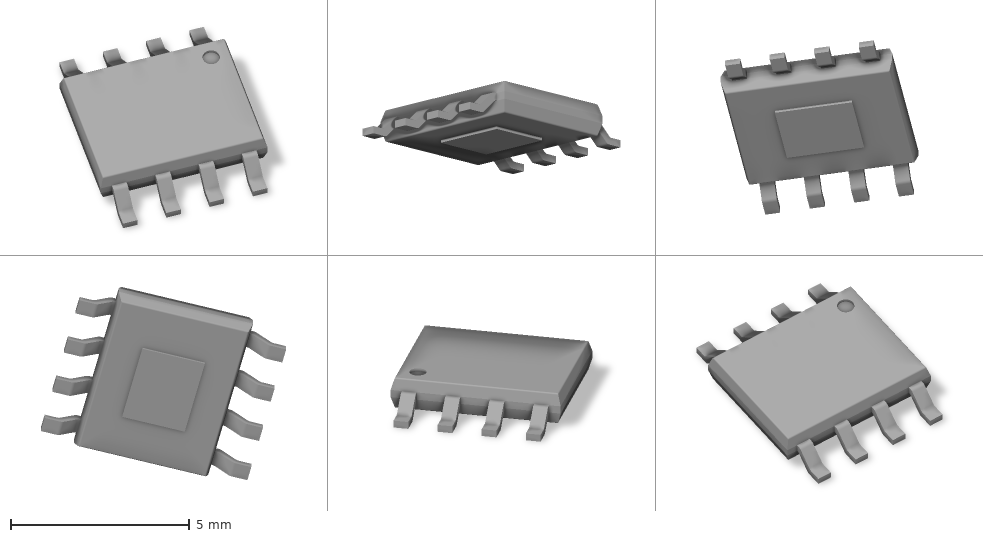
import cadquery as cq

SPAN = 6.0
BODY_WIDTH = 3.9
BODY_LENGTH = 4.9
TOP_Z = 1.0
BODY_BOTTOM_Z = 0.08

BELT_BOTTOM_Z = 0.44
BELT_TOP_Z = 0.66
DRAFT_ANGLE = 16.0
RIM_RADIUS = 0.05

MARK_DIAMETER = 0.485
MARK_DEPTH = 0.095
MARK_X = -1.32
MARK_Y = 1.81

PAD_WIDTH = 1.82
PAD_LENGTH = 2.21

LEADS_PER_SIDE = 4
LEAD_PITCH = 1.27
LEAD_WIDTH = 0.425
FOOT_THICKNESS = 0.21
FOOT_TOP_LENGTH = 0.41
SHOULDER_TOP_LENGTH = 0.145
FOOT_BOTTOM_LENGTH = 0.51
SHOULDER_BOTTOM_LENGTH = 0.06
BEND_RADIUS = 0.13


def drafted_block(start_z, height):
    """Belt outline extruded from start_z by a signed height, narrowing away from the belt."""
    return (
        cq.Workplane("XY", origin=(0, 0, start_z))
        .rect(BODY_WIDTH, BODY_LENGTH)
        .extrude(height, taper=DRAFT_ANGLE)
    )


def make_housing():
    belt = cq.Workplane("XY", origin=(0, 0, BELT_BOTTOM_Z)).rect(BODY_WIDTH, BODY_LENGTH)
    belt = belt.extrude(BELT_TOP_Z - BELT_BOTTOM_Z)
    upper = drafted_block(BELT_TOP_Z, TOP_Z - BELT_TOP_Z)
    lower = drafted_block(BELT_BOTTOM_Z, BODY_BOTTOM_Z - BELT_BOTTOM_Z)
    housing = belt.union(upper).union(lower)
    housing = housing.faces("<Z or >Z").edges().fillet(RIM_RADIUS)

    mark = (
        cq.Workplane("XY", origin=(MARK_X, MARK_Y, TOP_Z - MARK_DEPTH))
        .circle(MARK_DIAMETER / 2)
        .extrude(MARK_DEPTH)
    )
    return housing.cut(mark)


def make_pad():
    return cq.Workplane("XY").rect(PAD_WIDTH, PAD_LENGTH).extrude(BODY_BOTTOM_Z)


def make_lead(center_y):
    """Lead on the -X side, from its tip to the housing belt, with all four bends rounded."""
    tip_x = -SPAN / 2
    root_x = -BODY_WIDTH / 2
    foot_top_bend = (tip_x + FOOT_TOP_LENGTH, FOOT_THICKNESS)
    foot_bottom_bend = (tip_x + FOOT_BOTTOM_LENGTH, 0)
    shoulder_top_bend = (root_x - SHOULDER_TOP_LENGTH, BELT_TOP_Z)
    shoulder_bottom_bend = (root_x - SHOULDER_BOTTOM_LENGTH, BELT_BOTTOM_Z)

    lead = (
        cq.Workplane("XZ", origin=(0, center_y + LEAD_WIDTH / 2, 0))
        .moveTo(tip_x, 0)
        .lineTo(*foot_bottom_bend)
        .lineTo(*shoulder_bottom_bend)
        .lineTo(root_x, BELT_BOTTOM_Z)
        .lineTo(root_x, BELT_TOP_Z)
        .lineTo(*shoulder_top_bend)
        .lineTo(*foot_top_bend)
        .lineTo(tip_x, FOOT_THICKNESS)
        .close()
        .extrude(LEAD_WIDTH)
    )
    for x, z in (foot_top_bend, foot_bottom_bend, shoulder_top_bend, shoulder_bottom_bend):
        bend = cq.selectors.NearestToPointSelector((x, center_y, z))
        lead = lead.edges("|Y").edges(bend).fillet(BEND_RADIUS)
    return lead


housing = make_housing()
pad = make_pad()
leads = []
for row in range(LEADS_PER_SIDE):
    center_y = (row - (LEADS_PER_SIDE - 1) / 2) * LEAD_PITCH
    left_lead = make_lead(center_y)
    leads.append(left_lead.val())
    leads.append(left_lead.mirror("YZ").val())

result = cq.Compound.makeCompound([housing.val(), pad.val(), *leads])